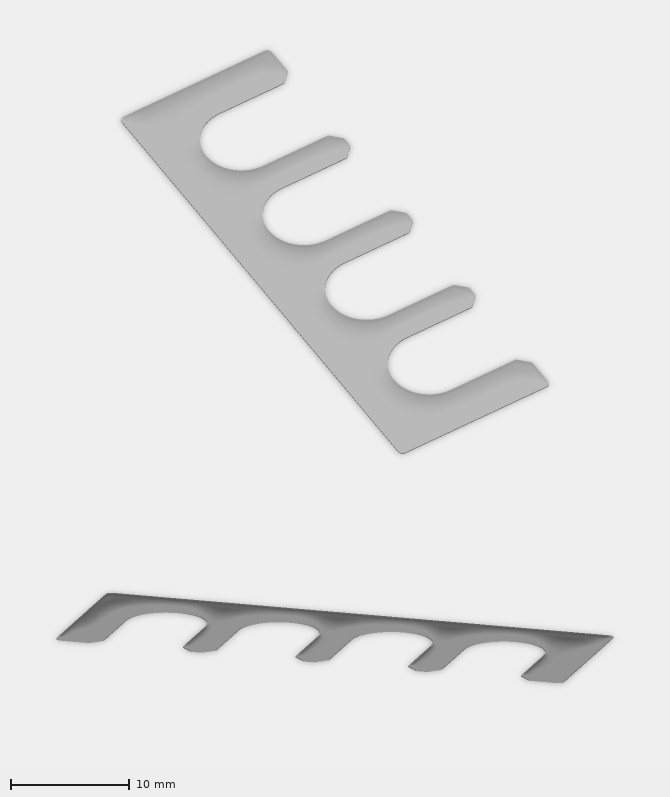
import cadquery as cq

length = 45.0
width = 15.0
thickness = 0.1
corner_radius = 0.45

slot_count = 4
slot_pitch = length / (slot_count + 0.5)
slot_width = 7.0
slot_floor_web = 4.0
mouth_chamfer = 1.0

slot_radius = slot_width / 2
front_edge = -width / 2
back_edge = width / 2
arc_center_y = front_edge + slot_floor_web + slot_radius


def make_plate():
    """Flat plate centred on the origin with rounded outer corners."""
    plate = cq.Workplane("XY").box(length, width, thickness)
    return plate.edges("|Z").fillet(corner_radius)


def make_slot(center_x):
    """Cutter for one slot: semicircular floor, straight sides, chamfered mouth."""
    left = center_x - slot_radius
    right = center_x + slot_radius
    return (
        cq.Workplane("XY", origin=(0, 0, -thickness))
        .moveTo(left - mouth_chamfer, back_edge)
        .lineTo(left, back_edge - mouth_chamfer)
        .lineTo(left, arc_center_y)
        .threePointArc((center_x, arc_center_y - slot_radius), (right, arc_center_y))
        .lineTo(right, back_edge - mouth_chamfer)
        .lineTo(right + mouth_chamfer, back_edge)
        .close()
        .extrude(2 * thickness)
    )


result = make_plate()
for index in range(slot_count):
    slot_x = (index - (slot_count - 1) / 2) * slot_pitch
    result = result.cut(make_slot(slot_x))